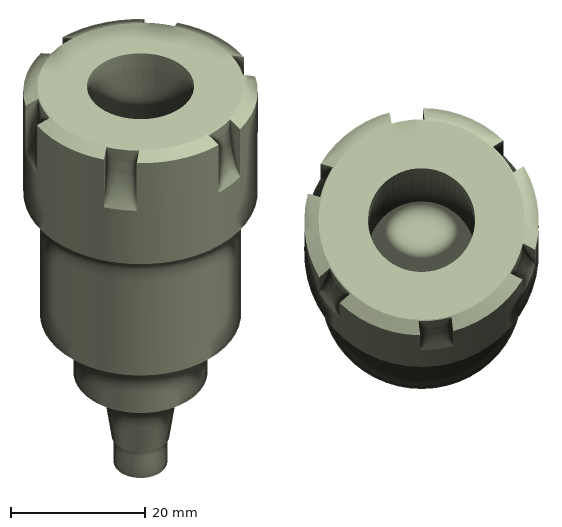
import cadquery as cq

total_height = 71.0
pin_diameter = 8.0
pin_top = 5.05
cone_small_diameter = 8.65
cone_large_diameter = 12.0
cone_top = 17.0
neck_diameter = 20.0
neck_top = 28.0
barrel_diameter = 30.0
nut_height = 20.0
nut_diameter = 35.0
nut_face_diameter = 30.75
nut_chamfer_height = 0.9
nut_bottom = total_height - nut_height

bore_diameter = 16.0
bore_depth = nut_height

slot_count = 6
slot_width = 5.0
slot_depth = 9.95
slot_straight_depth = 2.3
slot_floor_radius = 15.55
slot_first_angle = 7.0
slot_bottom = total_height - slot_depth
slot_curve_top = total_height - slot_straight_depth


def make_body():
    """Revolve the stepped outline about the Z axis."""
    return (
        cq.Workplane("XZ")
        .lineTo(pin_diameter / 2, 0)
        .lineTo(pin_diameter / 2, pin_top)
        .lineTo(cone_small_diameter / 2, pin_top)
        .lineTo(cone_large_diameter / 2, cone_top)
        .lineTo(neck_diameter / 2, cone_top)
        .lineTo(neck_diameter / 2, neck_top)
        .lineTo(barrel_diameter / 2, neck_top)
        .lineTo(barrel_diameter / 2, nut_bottom)
        .lineTo(nut_diameter / 2, nut_bottom)
        .lineTo(nut_diameter / 2, total_height - nut_chamfer_height)
        .lineTo(nut_face_diameter / 2, total_height)
        .lineTo(0, total_height)
        .close()
        .revolve(360, (0, 0), (0, 1))
    )


def make_bore():
    """Cylinder removed from the nut face."""
    return (
        cq.Workplane("XY", origin=(0, 0, total_height - bore_depth))
        .circle(bore_diameter / 2)
        .extrude(bore_depth)
    )


def make_slot_cutter():
    """Cutter on +X: flat sides, and a round floor that curves out to the rim."""
    ring = (
        cq.Workplane("XZ")
        .moveTo(nut_diameter / 2, slot_bottom)
        .lineTo(nut_diameter, slot_bottom)
        .lineTo(nut_diameter, total_height)
        .lineTo(slot_floor_radius, total_height)
        .lineTo(slot_floor_radius, slot_curve_top)
        .tangentArcPoint((nut_diameter / 2, slot_bottom), relative=False)
        .close()
        .revolve(360, (0, 0), (0, 1))
    )
    sides = (
        cq.Workplane("XY", origin=(0, 0, slot_bottom))
        .rect(nut_diameter, slot_width)
        .extrude(slot_depth)
        .translate((nut_diameter / 2, 0, 0))
    )
    return ring.intersect(sides)


result = make_body().cut(make_bore())
slot_cutter = make_slot_cutter()
for index in range(slot_count):
    angle = slot_first_angle + index * 360 / slot_count
    result = result.cut(slot_cutter.rotate((0, 0, 0), (0, 0, 1), angle))